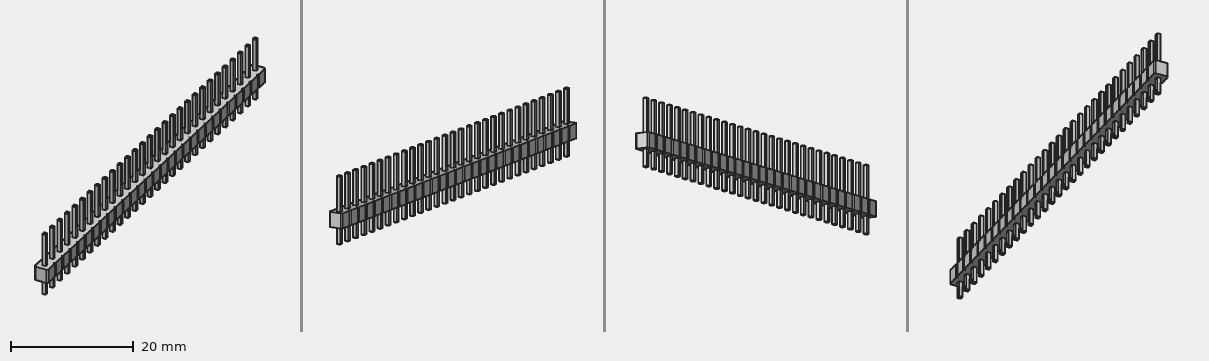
import cadquery as cq

row_length = 73.65
pin_count = 29
pitch = row_length / pin_count

block_size = pitch
block_bevel = pitch / 10

pin_length = 11.6
pin_tail = 3.0
pin_width = 0.64
tip_bevel = pin_width / 4

first_pin_y = (pitch - row_length) / 2
pin_centres = [(0, first_pin_y + index * pitch) for index in range(pin_count)]


def make_block():
    """Bevelled block around one pin, standing on Z = 0."""
    block = cq.Workplane("XY").box(block_size, block_size, block_size, centered=(True, True, False))
    return block.edges("|Z").chamfer(block_bevel)


def make_pin():
    """Square pin with both tips bevelled, its tail reaching below Z = 0."""
    pin = cq.Workplane("XY").box(pin_width, pin_width, pin_length, centered=(True, True, False))
    return pin.edges("#Z").chamfer(tip_bevel).translate((0, 0, -pin_tail))


station = make_block().union(make_pin()).val()
stations = cq.Workplane("XY").pushPoints(pin_centres).eachpoint(lambda place: station.moved(place))
result = stations.combine(clean=True)